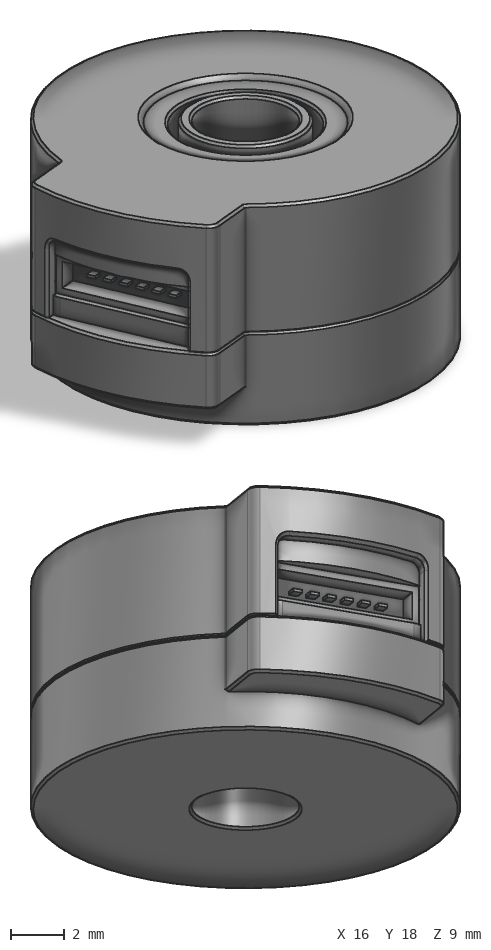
import cadquery as cq
import math

BODY_RADIUS = 8.0
HEIGHT = 9.0
SEAM_Z = 3.8
EDGE = 0.1
SEAM_EDGE = 0.05

TAB_WIDTH = 8.0
TAB_RADIUS = 10.0
TAB_BOTTOM_Z = 1.5
TAB_CORNER_RADIUS = 0.5
TAB_ROOT_RADIUS = 0.05

DISH_RADIUS = 4.0
DISH_DEPTH = 0.2
GAP_OUTER_RADIUS = 2.9
GAP_DEPTH = 2.0
SLEEVE_RADIUS = 2.5
SLEEVE_TOP_Z = 8.95
BORE_RADIUS = 2.0

WINDOW_WIDTH = 6.0
WINDOW_TOP_Z = 7.05
WINDOW_CORNER_RADIUS = 0.4
WINDOW_EDGE = 0.13

WINDOW_FLOOR_RADIUS = 9.45

SHELL_WIDTH = 6.04
SHELL_BOTTOM_Z = 4.58
SHELL_TOP_Z = 6.2
SHELL_FRONT_Y = -8.85
SOCKET_WIDTH = 5.52
SOCKET_BOTTOM_Z = 4.84
SOCKET_TOP_Z = 5.93
SOCKET_DEPTH = 0.8
FOOT_WIDTH = 7.2
FOOT_CORNER_RADIUS = 0.9
FOOT_FRONT_Y = -9.13

PIN_COUNT = 6
PIN_PITCH = 0.7
PIN_WIDTH = 0.36
PIN_THICKNESS = 0.12
PIN_LENGTH = 0.4

SOCKET_BACK_WALL = 0.5
CONNECTOR_BACK_Y = SHELL_FRONT_Y + SOCKET_DEPTH + SOCKET_BACK_WALL


def box(width, y_front, y_back, z_low, z_high, x_center=0.0):
    """Box given by its X width and its Y and Z limits."""
    return cq.Workplane("XY").box(
        width, y_back - y_front, z_high - z_low, centered=(True, False, False)
    ).translate((x_center, y_front, z_low))


def disc(radius, z_low, z_high):
    """Cylinder on the Z axis."""
    return cq.Workplane("XY").workplane(offset=z_low).circle(radius).extrude(z_high - z_low)


def body_with_tab(z_low, z_high):
    """Round body joined to the tab, with the tab corners and roots rounded."""
    half_width = TAB_WIDTH / 2
    tab = disc(TAB_RADIUS, z_low, z_high).intersect(
        box(TAB_WIDTH, -TAB_RADIUS, 0, z_low, z_high)
    )
    corner_y = -math.sqrt(TAB_RADIUS**2 - half_width**2)
    root_y = -math.sqrt(BODY_RADIUS**2 - half_width**2)
    middle_z = (z_low + z_high) / 2
    body = disc(BODY_RADIUS, z_low, z_high).union(tab)
    for y, radius in ((corner_y, TAB_CORNER_RADIUS), (root_y, TAB_ROOT_RADIUS)):
        for x in (-half_width, half_width):
            edge = cq.selectors.NearestToPointSelector((x, y, middle_z))
            body = body.edges("|Z").edges(edge).fillet(radius)
    return body


def make_base():
    """Lower half: the tab stops above the bottom of the round body."""
    tab_layer = body_with_tab(TAB_BOTTOM_Z, SEAM_Z)
    tab_layer = tab_layer.faces(">Z or <Z").chamfer(EDGE)
    core = disc(BODY_RADIUS, 0, SEAM_Z).faces(">Z or <Z").chamfer(EDGE)
    return tab_layer.union(core)


def make_cover():
    """Upper half with chamfered top and seam edges."""
    cover = body_with_tab(SEAM_Z, HEIGHT)
    cover = cover.faces(">Z").chamfer(EDGE)
    return cover.faces("<Z").chamfer(SEAM_EDGE)


def cut_window(cover):
    """Recess the window into the tab, chamfer its mouth and open the connector cavity."""
    front_y = -TAB_RADIUS - 1
    recess = (
        box(WINDOW_WIDTH, front_y, 0, SEAM_Z, WINDOW_TOP_Z)
        .edges("|Y and >Z")
        .fillet(WINDOW_CORNER_RADIUS)
        .cut(disc(WINDOW_FLOOR_RADIUS, 0, HEIGHT))
    )
    half_width = WINDOW_WIDTH / 2
    mouth_side_y = -math.sqrt(TAB_RADIUS**2 - half_width**2)
    side_middle_z = (SEAM_Z + WINDOW_TOP_Z - WINDOW_CORNER_RADIUS) / 2
    mouth_edge = cq.selectors.NearestToPointSelector((half_width, mouth_side_y, side_middle_z))
    windowed_tab = body_with_tab(SEAM_Z, HEIGHT).cut(recess).edges(mouth_edge).chamfer(WINDOW_EDGE)
    cavity = box(FOOT_WIDTH, front_y, CONNECTOR_BACK_Y, SEAM_Z, SHELL_TOP_Z).intersect(
        disc(WINDOW_FLOOR_RADIUS, 0, HEIGHT)
    )
    return cover.intersect(windowed_tab).cut(cavity)


def make_connector():
    """Socket shell on a narrower foot, with a row of pins in the socket."""
    socket_back_y = SHELL_FRONT_Y + SOCKET_DEPTH
    pin_z = (SOCKET_BOTTOM_Z + SOCKET_TOP_Z) / 2
    shell = box(SHELL_WIDTH, SHELL_FRONT_Y, CONNECTOR_BACK_Y, SHELL_BOTTOM_Z, SHELL_TOP_Z)
    foot = box(FOOT_WIDTH, FOOT_FRONT_Y, CONNECTOR_BACK_Y, SEAM_Z, SHELL_BOTTOM_Z)
    foot = foot.edges("|Z and <Y").fillet(FOOT_CORNER_RADIUS)
    connector = shell.union(foot)
    connector = connector.cut(
        box(SOCKET_WIDTH, SHELL_FRONT_Y, socket_back_y, SOCKET_BOTTOM_Z, SOCKET_TOP_Z)
    )
    for index in range(PIN_COUNT):
        pin_x = (index - (PIN_COUNT - 1) / 2) * PIN_PITCH
        pin = box(
            PIN_WIDTH,
            socket_back_y - PIN_LENGTH,
            CONNECTOR_BACK_Y,
            pin_z - PIN_THICKNESS / 2,
            pin_z + PIN_THICKNESS / 2,
            pin_x,
        )
        connector = connector.union(pin)
    return connector


def add_sleeve(body):
    """Dish the top, then cut the gap and bore that leave a chamfered sleeve."""
    dish_floor_z = HEIGHT - DISH_DEPTH
    gap_floor_z = dish_floor_z - GAP_DEPTH
    bore_mouth = BORE_RADIUS + EDGE
    gap_mouth = GAP_OUTER_RADIUS + EDGE
    sleeve_rim = SLEEVE_RADIUS - EDGE
    cut_outline = [
        (0, 0),
        (bore_mouth, 0),
        (BORE_RADIUS, EDGE),
        (BORE_RADIUS, SLEEVE_TOP_Z - EDGE),
        (bore_mouth, SLEEVE_TOP_Z),
        (sleeve_rim, SLEEVE_TOP_Z),
        (SLEEVE_RADIUS, SLEEVE_TOP_Z - EDGE),
        (SLEEVE_RADIUS, gap_floor_z),
        (GAP_OUTER_RADIUS, gap_floor_z),
        (GAP_OUTER_RADIUS, dish_floor_z - EDGE),
        (gap_mouth, dish_floor_z),
        (DISH_RADIUS - DISH_DEPTH, dish_floor_z),
        (DISH_RADIUS, HEIGHT),
        (0, HEIGHT),
    ]
    cutter = cq.Workplane("XZ").polyline(cut_outline).close().revolve(360, (0, 0, 0), (0, 1, 0))
    return body.cut(cutter)


housing = make_base().union(cut_window(make_cover())).union(make_connector())
result = add_sleeve(housing)